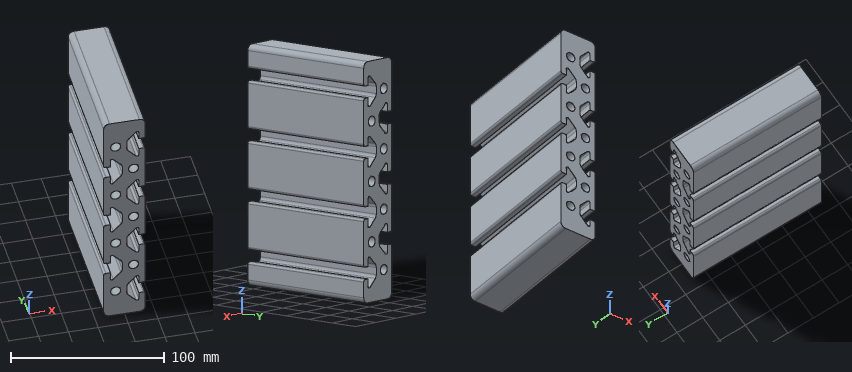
import cadquery as cq

width = 28.0
length = 100.0
height = 160.0
corner_radius = 4.0

slot_spacing = 20.0
slot_count = 7
mouth_width = 8.2
lip_thickness = 4.5
lip_edge_radius = 1.5
slot_depth = 12.5
floor_width = 7.5
floor_corner_radius = 3.4
undercut_tip_radius = 1.1

bore_diameter = 6.7
bore_inset = 8.0

cavity_width = floor_width + 2 * (slot_depth - lip_thickness)


def make_bar():
    """Solid bar centred on the origin with rounded long edges."""
    return cq.Workplane("XY").box(width, length, height).edges("|Y").fillet(corner_radius)


def make_cavity():
    """Undercut part of a slot: trapezoid with rounded tips and floor corners."""
    cavity = (
        cq.Workplane("XZ", origin=(-width / 2, length / 2, 0))
        .moveTo(lip_thickness, -cavity_width / 2)
        .lineTo(slot_depth, -floor_width / 2)
        .lineTo(slot_depth, floor_width / 2)
        .lineTo(lip_thickness, cavity_width / 2)
        .close()
        .extrude(length)
    )
    cavity = cavity.edges("|Y").edges("<X").fillet(undercut_tip_radius)
    return cavity.edges("|Y").edges(">X").fillet(floor_corner_radius)


def make_mouth():
    """Opening between the lips, flared by the rounded outer lip edges."""
    half_mouth = mouth_width / 2
    half_flare = half_mouth + lip_edge_radius
    return (
        cq.Workplane("XZ", origin=(-width / 2, length / 2, 0))
        .moveTo(0, -half_flare)
        .radiusArc((lip_edge_radius, -half_mouth), lip_edge_radius)
        .lineTo(slot_depth / 2, -half_mouth)
        .lineTo(slot_depth / 2, half_mouth)
        .lineTo(lip_edge_radius, half_mouth)
        .radiusArc((0, half_flare), lip_edge_radius)
        .close()
        .extrude(length)
    )


def make_bore():
    """Through bore that belongs to a slot in the -X face."""
    return (
        cq.Workplane("XZ", origin=(width / 2 - bore_inset, length / 2, 0))
        .circle(bore_diameter / 2)
        .extrude(length)
    )


left_cutters = [make_cavity(), make_mouth(), make_bore()]
right_cutters = [cutter.mirror("YZ") for cutter in left_cutters]

result = make_bar()
for index in range(slot_count):
    slot_z = (index - (slot_count - 1) / 2) * slot_spacing
    cutters = right_cutters if index % 2 == 0 else left_cutters
    for cutter in cutters:
        result = result.cut(cutter.translate((0, 0, slot_z)))